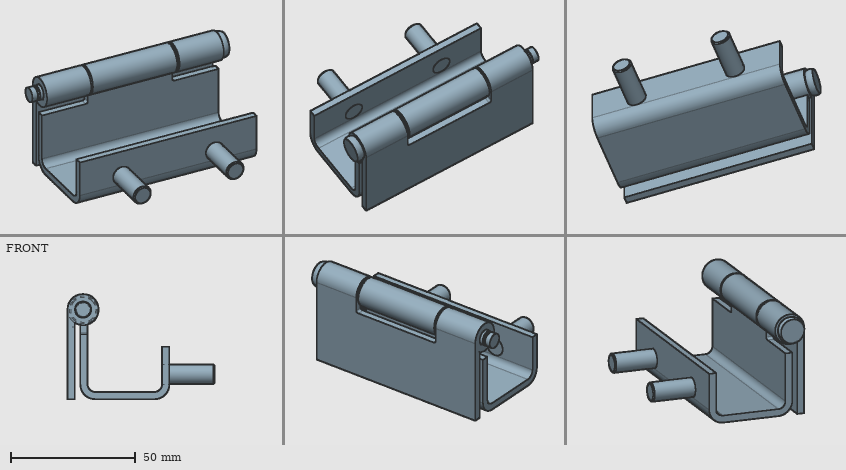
import cadquery as cq

LEAF_LENGTH = 80.0
SHEET = 3.0
KNUCKLE_RADIUS = 6.3
HEIGHT = 42.25
CORNER_RADIUS = 1.0

AXIS_X = KNUCKLE_RADIUS
AXIS_Z = HEIGHT - KNUCKLE_RADIUS
BORE_RADIUS = KNUCKLE_RADIUS - SHEET

WINDOW_LENGTH = LEAF_LENGTH / 2
WINDOW_BOTTOM = 29.0

CHANNEL_LEFT = 5.1
CHANNEL_RIGHT = 40.9
FLANGE_HEIGHT = 21.2
SHOULDER_HEIGHT = 26.0
BEND_INNER_RADIUS = 3.0
BEND_OUTER_RADIUS = BEND_INNER_RADIUS + SHEET

WASHER_THICKNESS = 0.8
WASHER_GAP = 0.2
END_GAP = 0.8
KNUCKLE_BACK = WINDOW_LENGTH / 2 - WASHER_THICKNESS - WASHER_GAP
KNUCKLE_FRONT = -WINDOW_LENGTH / 2 + END_GAP

PIN_RADIUS = 3.1
HEAD_RADIUS = 5.6
HEAD_FACE_RADIUS = 5.0
HEAD_LENGTH = 3.3
PIN_TAIL = 4.9
GROOVE_OFFSET = 1.3
GROOVE_WIDTH = 1.0
GROOVE_RADIUS = 2.7
WASHER_RADIUS = 5.6

STUD_RADIUS = 4.0
STUD_END = 59.0
STUD_Z = 10.05
STUD_SPACING = 42.0
STUD_CHAMFER = 0.5


def box(x_min, x_max, y_min, y_max, z_min, z_max):
    """Block between the given limits."""
    size = (x_max - x_min, y_max - y_min, z_max - z_min)
    return cq.Workplane().box(*size, centered=False).translate((x_min, y_min, z_min))


def barrel(radius, y_min, y_max):
    """Cylinder on the hinge axis."""
    workplane = cq.Workplane("XZ", origin=(AXIS_X, y_max, AXIS_Z))
    return workplane.circle(radius).extrude(y_max - y_min)


def make_flat_leaf():
    """Flat plate with a knuckle at each end of its upper edge."""
    end = LEAF_LENGTH / 2
    leaf = box(0, SHEET, -end, end, 0, AXIS_Z).union(barrel(KNUCKLE_RADIUS, -end, end))
    half_window = WINDOW_LENGTH / 2
    window = box(0, 2 * KNUCKLE_RADIUS, -half_window, half_window, WINDOW_BOTTOM, HEIGHT)
    window = window.edges("|X and <Z").fillet(CORNER_RADIUS)
    return leaf.cut(window).cut(barrel(BORE_RADIUS, -end, end))


def make_channel_leaf(studs):
    """Bent channel whose tall flange rises to the middle knuckle."""
    end = LEAF_LENGTH / 2
    channel = box(CHANNEL_LEFT, CHANNEL_RIGHT, -end, end, 0, AXIS_Z)
    channel = channel.edges("|Y and <Z").fillet(BEND_OUTER_RADIUS)
    hollow = box(CHANNEL_LEFT + SHEET, CHANNEL_RIGHT - SHEET, -end, end, SHEET, HEIGHT)
    channel = channel.cut(hollow.edges("|Y and <Z").fillet(BEND_INNER_RADIUS))
    above_flange = box(CHANNEL_RIGHT - SHEET, CHANNEL_RIGHT, -end, end, FLANGE_HEIGHT, HEIGHT)
    channel = channel.cut(above_flange)

    flange_right = CHANNEL_LEFT + SHEET
    front_notch = box(CHANNEL_LEFT, flange_right, -end, KNUCKLE_FRONT, SHOULDER_HEIGHT, HEIGHT)
    front_notch = front_notch.edges("|X and <Z and >Y").fillet(CORNER_RADIUS)
    back_notch = box(CHANNEL_LEFT, flange_right, KNUCKLE_BACK, end, SHOULDER_HEIGHT, HEIGHT)
    back_notch = back_notch.edges("|X and <Z and <Y").fillet(CORNER_RADIUS)
    channel = channel.cut(front_notch).cut(back_notch)

    channel = channel.union(barrel(KNUCKLE_RADIUS, KNUCKLE_FRONT, KNUCKLE_BACK))
    channel = channel.cut(barrel(BORE_RADIUS, KNUCKLE_FRONT, KNUCKLE_BACK))
    for stud in studs:
        channel = channel.cut(stud)
    return channel


def make_head(seat):
    """Round head with a bulging rim, seated at Y = seat."""
    tip = seat + HEAD_LENGTH
    half_profile = (
        cq.Workplane("XY", origin=(AXIS_X, 0, AXIS_Z))
        .moveTo(0, seat)
        .lineTo(HEAD_FACE_RADIUS, seat)
        .threePointArc((HEAD_RADIUS, seat + HEAD_LENGTH / 2), (HEAD_FACE_RADIUS, tip))
        .lineTo(0, tip)
        .close()
    )
    return half_profile.revolve(360, (0, 0, 0), (0, 1, 0))


def make_pin():
    """Headed pin with a retaining groove near its free end."""
    end = LEAF_LENGTH / 2
    head = make_head(end)
    groove_back = -end - GROOVE_OFFSET
    groove_front = groove_back - GROOVE_WIDTH
    groove = barrel(PIN_RADIUS, groove_front, groove_back)
    groove = groove.cut(barrel(GROOVE_RADIUS, groove_front, groove_back))
    return barrel(PIN_RADIUS, -end - PIN_TAIL, end).union(head).cut(groove)


def make_washer():
    """Spacer resting against the knuckle at the pin head, just clear of the middle knuckle."""
    back = WINDOW_LENGTH / 2
    front = back - WASHER_THICKNESS
    return barrel(WASHER_RADIUS, front, back).cut(barrel(PIN_RADIUS, front, back))


def make_stud(y):
    """Stud set through the short flange, flush with its inner face."""
    start = CHANNEL_RIGHT - SHEET
    stud = cq.Workplane("YZ", origin=(start, y, STUD_Z)).circle(STUD_RADIUS).extrude(STUD_END - start)
    return stud.faces(">X").chamfer(STUD_CHAMFER)


studs = [make_stud(side * STUD_SPACING / 2) for side in (-1, 1)]
flat_leaf = make_flat_leaf()
channel_leaf = make_channel_leaf(studs)
pin = make_pin()
washer = make_washer()

result = cq.Compound.makeCompound(
    [flat_leaf.val(), channel_leaf.val(), pin.val(), washer.val(), *[stud.val() for stud in studs]]
)